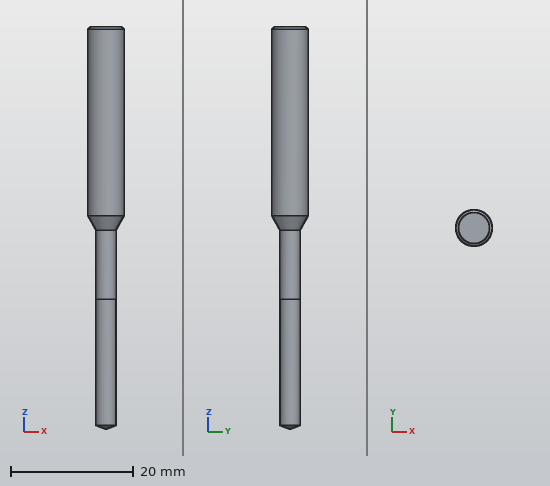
import cadquery as cq

total_length = 66.0
tip_height = 0.65
cutter_length = 21.3
shank_length = 30.95
taper_length = 2.4

shank_diameter = 6.0
drill_diameter = 3.35

end_chamfer = 0.45

shank_radius = shank_diameter / 2
drill_radius = drill_diameter / 2
shank_bottom = total_length - shank_length
taper_bottom = shank_bottom - taper_length


def make_holder():
    """Chamfered shank tapering to a neck, revolved from the -Y half plane."""
    profile = [
        (0, cutter_length),
        (-drill_radius, cutter_length),
        (-drill_radius, taper_bottom),
        (-shank_radius, shank_bottom),
        (-shank_radius, total_length - end_chamfer),
        (-shank_radius + end_chamfer, total_length),
        (0, total_length),
    ]
    return cq.Workplane("YZ").polyline(profile).close().revolve(360, (0, 0), (0, 1))


def make_cutter():
    """Round cutter with a conical tip, revolved from the -X half plane."""
    profile = [
        (0, 0),
        (-drill_radius, tip_height),
        (-drill_radius, cutter_length),
        (0, cutter_length),
    ]
    return cq.Workplane("XZ").polyline(profile).close().revolve(360, (0, 0), (0, 1))


holder = make_holder()
cutter = make_cutter()

result = cq.Compound.makeCompound([holder.val(), cutter.val()])